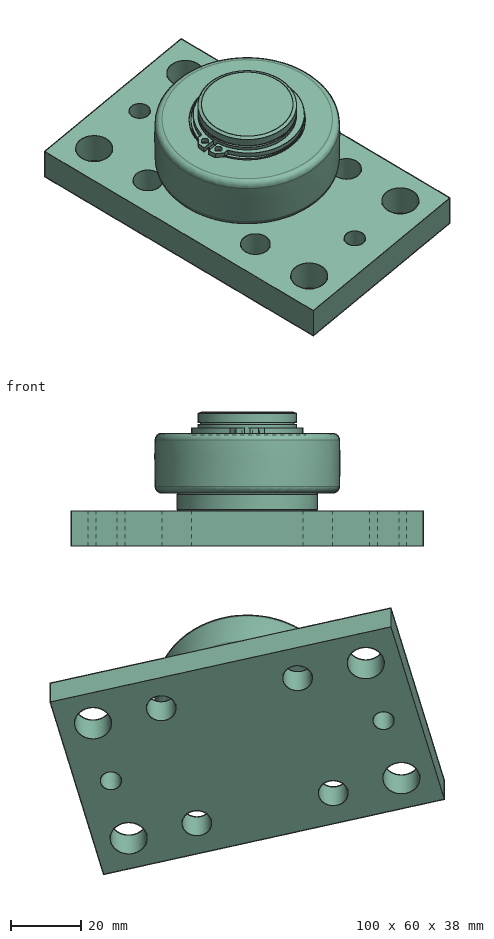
import cadquery as cq
import math

plate_length = 100.0
plate_width = 60.0
plate_height = 10.0
corner_hole_diameter = 10.5
inner_hole_diameter = 8.4
end_hole_diameter = 6.0
outer_hole_x = 40.0
inner_hole_x = outer_hole_x / 2
hole_row_y = 20.0

collar_diameter = 40.0
collar_chamfer = 0.4

roller_bottom = 15.0
roller_height = 17.0
roller_top = roller_bottom + roller_height
roller_diameter = 52.6
roller_crown = 0.2
roller_fillet = 2.0
face_groove_inner_diameter = 32.0
face_groove_outer_diameter = 33.0
face_groove_depth = 0.5

shaft_top = 38.0
shaft_diameter = 28.0
shaft_top_chamfer_width = 1.0
shaft_top_chamfer_height = 0.4
groove_diameter = 26.6
groove_top = 35.1
groove_width = 0.6

ring_height = 1.5
ring_diameter = 31.6
ring_offset_y = 0.7
lug_outer_radius = 18.0
lug_half_width = 4.9
lug_shoulder_y = -15.8
lug_tip_half_width = 3.2
lug_gap = 1.6
lug_hole_diameter = 2.0
lug_hole_x = 2.5
lug_hole_y = -15.6


def cylinder(diameter, bottom, top):
    return cq.Workplane("XY").workplane(offset=bottom).circle(diameter / 2).extrude(top - bottom)


def make_plate():
    plate = cq.Workplane("XY").box(plate_length, plate_width, plate_height, centered=(True, True, False))
    for hole_x, rows, diameter in (
        (outer_hole_x, (-hole_row_y, hole_row_y), corner_hole_diameter),
        (inner_hole_x, (-hole_row_y, hole_row_y), inner_hole_diameter),
        (outer_hole_x, (0,), end_hole_diameter),
    ):
        centers = [(side * hole_x, y) for side in (-1, 1) for y in rows]
        holes = cq.Workplane("XY").pushPoints(centers).circle(diameter / 2).extrude(plate_height)
        plate = plate.cut(holes)
    return plate


def make_collar():
    return cylinder(collar_diameter, plate_height, roller_bottom).faces("<Z or >Z").chamfer(collar_chamfer)


def make_roller():
    crown_radius = roller_diameter / 2
    edge_radius = crown_radius - roller_crown
    profile = (
        cq.Workplane("XZ")
        .moveTo(0, roller_bottom)
        .lineTo(edge_radius, roller_bottom)
        .threePointArc((crown_radius, roller_bottom + roller_height / 2), (edge_radius, roller_top))
        .lineTo(0, roller_top)
        .close()
    )
    roller = profile.revolve(360, (0, 0, 0), (0, 1, 0)).faces("<Z or >Z").edges().fillet(roller_fillet)
    face_groove = (
        cq.Workplane("XY")
        .workplane(offset=roller_top - face_groove_depth)
        .circle(face_groove_outer_diameter / 2)
        .circle(face_groove_inner_diameter / 2)
        .extrude(face_groove_depth)
    )
    return roller.cut(face_groove)


def make_shaft_end():
    groove_bottom = groove_top - groove_width
    land = cylinder(shaft_diameter, roller_top, groove_bottom)
    neck = cylinder(groove_diameter, groove_bottom, groove_top)
    head = cylinder(shaft_diameter, groove_top, shaft_top)
    head = head.faces(">Z").chamfer(shaft_top_chamfer_height, shaft_top_chamfer_width)
    return land.union(neck).union(head)


def make_retaining_ring():
    base = cq.Workplane("XY").workplane(offset=roller_top)
    body = base.center(0, ring_offset_y).circle(ring_diameter / 2).extrude(ring_height)
    tip_y = -math.sqrt(lug_outer_radius**2 - lug_tip_half_width**2)
    lugs = (
        cq.Workplane("XY")
        .workplane(offset=roller_top)
        .moveTo(-lug_half_width, 0)
        .lineTo(-lug_half_width, lug_shoulder_y)
        .lineTo(-lug_tip_half_width, tip_y)
        .threePointArc((0, -lug_outer_radius), (lug_tip_half_width, tip_y))
        .lineTo(lug_half_width, lug_shoulder_y)
        .lineTo(lug_half_width, 0)
        .close()
        .extrude(ring_height)
    )
    gap = (
        cq.Workplane("XY")
        .workplane(offset=roller_top)
        .center(0, -lug_outer_radius / 2)
        .rect(lug_gap, lug_outer_radius)
        .extrude(ring_height)
    )
    holes = (
        cq.Workplane("XY")
        .workplane(offset=roller_top)
        .pushPoints([(-lug_hole_x, lug_hole_y), (lug_hole_x, lug_hole_y)])
        .circle(lug_hole_diameter / 2)
        .extrude(ring_height)
    )
    return body.union(lugs).cut(gap).cut(holes)


result = (
    make_plate()
    .union(make_collar())
    .union(make_roller())
    .union(make_retaining_ring())
    .union(make_shaft_end())
)